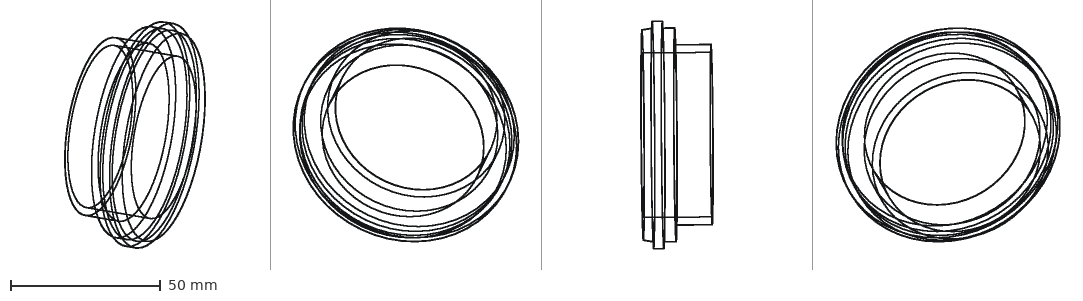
import cadquery as cq

flange_diameter = 76.0
collar_diameter = 71.45
tube_diameter = 60.3
bore_diameter = 54.95
rim_end_diameter = 70.3

tube_length = 12.1
collar_length = 4.1
flange_length = 3.4
rim_length = 3.4

collar_start = tube_length
flange_start = collar_start + collar_length
rim_start = flange_start + flange_length
rim_end = rim_start + rim_length

bore_radius = bore_diameter / 2
tube_radius = tube_diameter / 2
collar_radius = collar_diameter / 2
flange_radius = flange_diameter / 2
rim_end_radius = rim_end_diameter / 2

half_section = (
    cq.Workplane("XY")
    .moveTo(0, bore_radius)
    .lineTo(0, tube_radius)
    .lineTo(collar_start, tube_radius)
    .lineTo(collar_start, collar_radius)
    .lineTo(flange_start, collar_radius)
    .lineTo(flange_start, flange_radius)
    .lineTo(rim_start, flange_radius)
    .lineTo(rim_start, collar_radius)
    .lineTo(rim_end, rim_end_radius)
    .lineTo(rim_end, bore_radius)
    .close()
)

result = half_section.revolve(360, (0, 0, 0), (1, 0, 0))